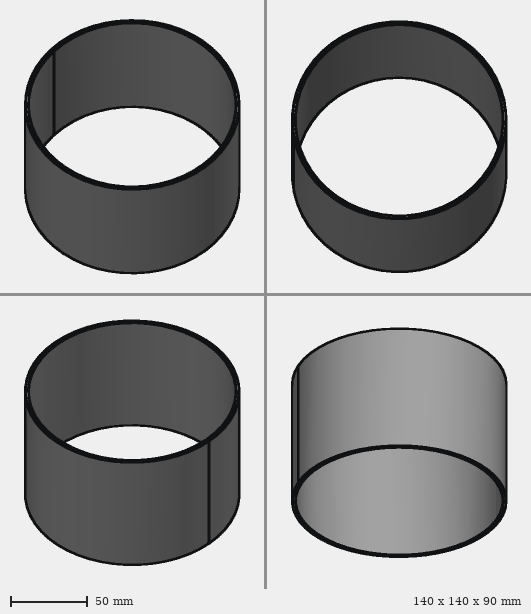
import cadquery as cq

outer_diameter = 140.0
height = 90.0
wall = 2.5
rim_chamfer = 0.49
slit_width = 1.1

outer_radius = outer_diameter / 2
inner_radius = outer_radius - wall

ring = cq.Workplane("XY").circle(outer_radius).circle(inner_radius).extrude(height)

ring = ring.faces("<Z or >Z").edges().chamfer(rim_chamfer)

slit = (
    cq.Workplane("XY")
    .moveTo(-outer_radius, slit_width / 2)
    .rect(4 * wall, slit_width)
    .extrude(height)
)

result = ring.cut(slit)